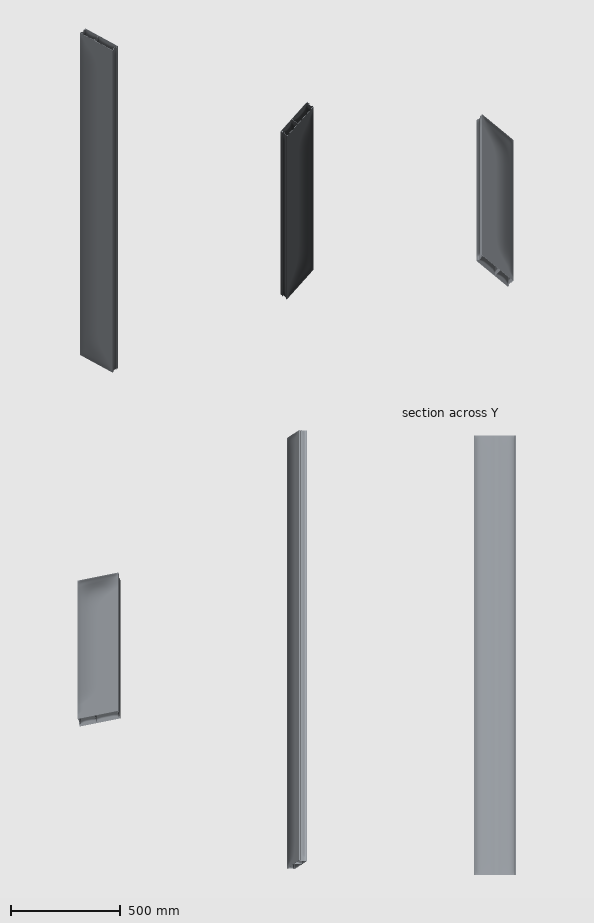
import cadquery as cq
import math

WIDTH = 190.0
DEPTH = 38.0
LENGTH = 2000.0
SHEET = 1.0
SIDE_X = WIDTH / 2
BACK_Y = DEPTH / 2
FRONT_Y = -DEPTH / 2
BACK_INNER_Y = BACK_Y - SHEET
FRONT_INNER_Y = FRONT_Y + SHEET

STEP_IN = 5.0
FLANGE_HEIGHT = 5.0
WALL_X = SIDE_X - STEP_IN
BEND_ANGLE = 45
MITRE = SHEET * math.tan(math.radians(BEND_ANGLE / 2))

SKIRT_HEIGHT = 15.0
BEAD_OFFSET = 5.0
BEAD_WIDTH = 5.0
BEAD_DEPTH = STEP_IN - SHEET

DIVIDER_LEFT_X = -15.0
DIVIDER_FOOT = 18.0


def extrude_outline(points):
    """Full-length bar with the given outline, centred on Z = 0."""
    return cq.Workplane("XY").polyline(points).close().extrude(LENGTH / 2, both=True)


def with_mirror(right_half):
    """The right half together with its mirror image on the left."""
    return right_half.union(right_half.mirror("YZ"))


def make_tray():
    """Front plate with a stepped side wall along each edge."""
    step_start = FRONT_Y + FLANGE_HEIGHT
    step_end = step_start + STEP_IN
    outside = [
        (0, FRONT_Y),
        (SIDE_X, FRONT_Y),
        (SIDE_X, step_start),
        (WALL_X, step_end),
        (WALL_X, BACK_INNER_Y),
    ]
    inside = [
        (WALL_X - SHEET, BACK_INNER_Y),
        (WALL_X - SHEET, step_end - MITRE),
        (SIDE_X - SHEET, step_start - MITRE),
        (SIDE_X - SHEET, FRONT_INNER_Y),
        (0, FRONT_INNER_Y),
    ]
    return with_mirror(extrude_outline(outside + inside))


def make_cover():
    """Back plate with a beaded skirt along each edge, overlapping the tray walls."""
    bead_start = BACK_Y - BEAD_OFFSET
    skirt = [
        (SIDE_X, bead_start),
        (SIDE_X - BEAD_DEPTH, bead_start - BEAD_WIDTH / 2),
        (SIDE_X, bead_start - BEAD_WIDTH),
        (SIDE_X, BACK_Y - SKIRT_HEIGHT),
    ]
    skirt_inside = [(x - SHEET, y) for x, y in reversed(skirt)]
    outside = [(0, BACK_Y), (SIDE_X, BACK_Y)] + skirt
    inside = skirt_inside + [(SIDE_X - SHEET, BACK_INNER_Y), (0, BACK_INNER_Y)]
    return with_mirror(extrude_outline(outside + inside))


def make_divider():
    """L-shaped strip that splits the duct into two compartments."""
    web_right = DIVIDER_LEFT_X + SHEET
    foot_right = DIVIDER_LEFT_X + DIVIDER_FOOT
    foot_top = FRONT_INNER_Y + SHEET
    return extrude_outline(
        [
            (DIVIDER_LEFT_X, FRONT_INNER_Y),
            (foot_right, FRONT_INNER_Y),
            (foot_right, foot_top),
            (web_right, foot_top),
            (web_right, BACK_INNER_Y),
            (DIVIDER_LEFT_X, BACK_INNER_Y),
        ]
    )


tray = make_tray().solids()
cover = make_cover().solids()
divider = make_divider().solids()
result = cq.Compound.makeCompound([tray.val(), cover.val(), divider.val()])